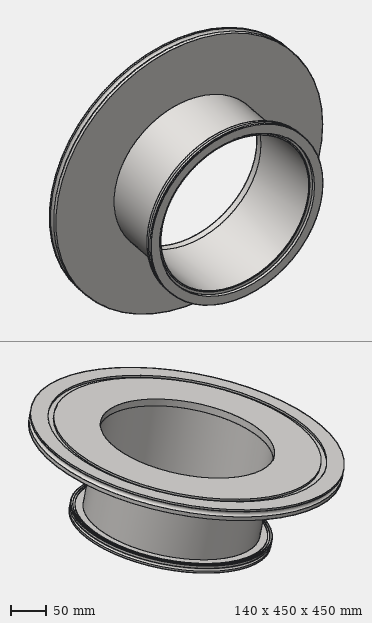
import cadquery as cq

overall_length = 140.0
bore_radius = 124.88
tube_outer_radius = 127.0

large_radius = 225.0
large_thickness = 17.0
small_radius = 145.0
small_thickness = 12.0
small_start = overall_length - small_thickness
small_edge_chamfer = 1.0

tube_start = 11.0
tube_end_inset = 6.5
tube_end = overall_length - tube_end_inset

recess_radius = 130.5
recess_depth = 5.0

large_groove_start = 3.0
large_groove_end = 11.2
large_groove_depth = 3.5
small_groove_inset = 3.0
small_groove_width = 4.0
small_groove_depth = 2.2
small_groove_end = overall_length - small_groove_inset
small_groove_start = small_groove_end - small_groove_width

back_groove_inner_radius = 138.0
back_groove_outer_radius = 141.5
back_groove_depth = 1.5

face_groove_inner_radius = 191.5
face_groove_outer_radius = 200.0
face_groove_depth = 3.0


def ring(start, end, inner_radius, outer_radius):
    """Return a plain ring along X from start to end."""
    return (
        cq.Workplane("YZ", origin=(start, 0, 0))
        .circle(outer_radius)
        .circle(inner_radius)
        .extrude(end - start)
    )


def rim_groove(start, end, rim_radius, depth):
    """Return the cutter for a groove of circular-arc section around a rim."""
    middle = (start + end) / 2
    return (
        cq.Workplane("XY")
        .moveTo(start, rim_radius)
        .threePointArc((middle, rim_radius - depth), (end, rim_radius))
        .close()
        .revolve(360, (0, 0, 0), (1, 0, 0))
    )


def tube_cutter():
    """Return the solid cylinder that forms the tube sockets."""
    return cq.Workplane("YZ", origin=(tube_start, 0, 0)).circle(tube_outer_radius).extrude(tube_end - tube_start)


def make_large_flange():
    """Return the large flange with its rim groove, face groove and tube socket."""
    flange = ring(0, large_thickness, bore_radius, large_radius)
    face_groove = ring(0, face_groove_depth, face_groove_inner_radius, face_groove_outer_radius)
    clamp_groove = rim_groove(large_groove_start, large_groove_end, large_radius, large_groove_depth)
    return flange.cut(face_groove).cut(clamp_groove).cut(tube_cutter())


def make_small_flange():
    """Return the small flange with its edge chamfer, rim groove, back groove, tube socket and recess."""
    flange = ring(small_start, overall_length, bore_radius, small_radius)
    outer_edge = cq.selectors.RadiusNthSelector(-1)
    flange = flange.faces("<X").edges(outer_edge).chamfer(small_edge_chamfer)
    back_groove = ring(
        small_start, small_start + back_groove_depth, back_groove_inner_radius, back_groove_outer_radius
    )
    clamp_groove = rim_groove(small_groove_start, small_groove_end, small_radius, small_groove_depth)
    recess = (
        cq.Workplane("YZ", origin=(overall_length - recess_depth, 0, 0))
        .circle(recess_radius)
        .extrude(recess_depth)
    )
    return flange.cut(clamp_groove).cut(back_groove).cut(tube_cutter()).cut(recess)


large_flange = make_large_flange()
tube = ring(tube_start, tube_end, bore_radius, tube_outer_radius)
small_flange = make_small_flange()

result = cq.Compound.makeCompound([large_flange.val(), tube.val(), small_flange.val()])